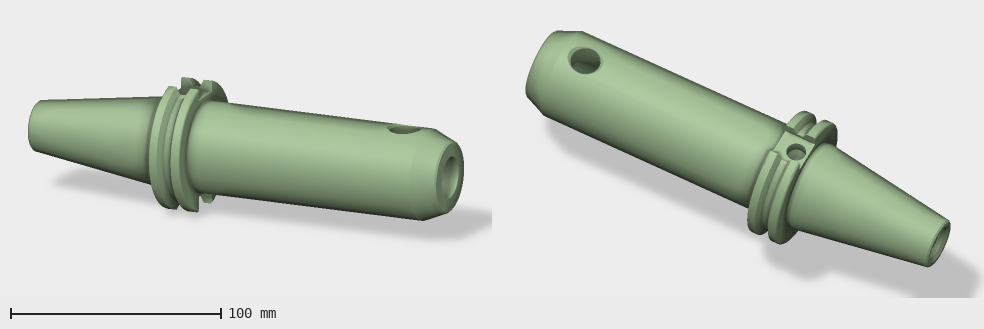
import cadquery as cq
import math

total_length = 214.3
body_radius = 44.4 / 2

taper_end = 68.1
taper_slope = 7 / 48
taper_tip_radius = body_radius - taper_end * taper_slope
tip_chamfer = 0.9

neck_radius = 43.5 / 2
neck_start = 70.0

flange_start = 71.1
flange_end = 87.2
flange_radius = 63.2 / 2
flange_rounding = 1.0
root_fillet = 0.6
groove_center = 79.3
groove_floor_width = 3.2
groove_floor_radius = 28.0
groove_flank_angle = 30.0
groove_flank = (flange_radius - groove_floor_radius) * math.tan(math.radians(groove_flank_angle))

slot_width = 15.9
upper_slot_floor = 25.0
lower_slot_floor = 22.7

dimple_x = 77.1
dimple_radius = 9.5 / 2
dimple_depth = 5.5
drill_point_angle = 118.0

nose_start = 202.7
nose_radius = 17.5
nose_chamfer = 0.9

through_radius = 13.3 / 2
tip_bore_radius = 16.3 / 2
tip_bore_depth = 4.0
tip_countersink_radius = 19.0 / 2
tip_countersink_depth = tip_countersink_radius - tip_bore_radius
tool_bore_radius = 20.1 / 2
tool_bore_depth = 51.5

screw_x = 190.7
screw_radius = 14.4 / 2
screw_countersink_start = 20.5


def revolve_profile(points):
    """Revolve a closed (x, radius) outline about the X axis."""
    return cq.Workplane("XY").polyline(points).close().revolve(360, (0, 0, 0), (1, 0, 0))


def make_shank_and_body():
    return revolve_profile([
        (0, 0),
        (0, taper_tip_radius + tip_chamfer * taper_slope - tip_chamfer),
        (tip_chamfer, taper_tip_radius + tip_chamfer * taper_slope),
        (taper_end, body_radius),
        (neck_start, neck_radius),
        (flange_start, neck_radius),
        (flange_end, body_radius),
        (nose_start, body_radius),
        (total_length - nose_chamfer, nose_radius),
        (total_length, nose_radius - nose_chamfer),
        (total_length, 0),
    ])


def make_flange():
    rim_inner = flange_radius - flange_rounding
    half_floor = groove_floor_width / 2
    half_mouth = half_floor + groove_flank
    arc_offset = flange_rounding * (1 - math.sqrt(0.5))
    return (
        cq.Workplane("XY")
        .moveTo(flange_start, 0)
        .lineTo(flange_start, rim_inner)
        .threePointArc(
            (flange_start + arc_offset, flange_radius - arc_offset),
            (flange_start + flange_rounding, flange_radius),
        )
        .lineTo(groove_center - half_mouth, flange_radius)
        .lineTo(groove_center - half_floor, groove_floor_radius)
        .lineTo(groove_center + half_floor, groove_floor_radius)
        .lineTo(groove_center + half_mouth, flange_radius)
        .lineTo(flange_end - flange_rounding, flange_radius)
        .threePointArc(
            (flange_end - arc_offset, flange_radius - arc_offset),
            (flange_end, rim_inner),
        )
        .lineTo(flange_end, body_radius + root_fillet)
        .radiusArc((flange_end + root_fillet, body_radius), -root_fillet)
        .lineTo(flange_end + root_fillet, 0)
        .close()
        .revolve(360, (0, 0, 0), (1, 0, 0))
    )


def make_slot(floor, side):
    """Drive slot open outward; side is +1 for the top and -1 for the bottom."""
    height = flange_radius - floor
    return (
        cq.Workplane("XY")
        .box(flange_end - flange_start, slot_width, height)
        .translate(((flange_start + flange_end) / 2, 0, side * (floor + height / 2)))
    )


def make_dimple():
    wall_end = upper_slot_floor - dimple_depth
    point_depth = dimple_radius / math.tan(math.radians(drill_point_angle / 2))
    return (
        cq.Workplane("XZ", origin=(dimple_x, 0, 0))
        .polyline([
            (0, wall_end - point_depth),
            (dimple_radius, wall_end),
            (dimple_radius, upper_slot_floor),
            (0, upper_slot_floor),
        ])
        .close()
        .revolve(360, (0, 0, 0), (0, 1, 0))
    )


def make_axial_bores():
    return revolve_profile([
        (0, 0),
        (0, tip_countersink_radius),
        (tip_countersink_depth, tip_bore_radius),
        (tip_bore_depth, tip_bore_radius),
        (tip_bore_depth, through_radius),
        (total_length - tool_bore_depth, through_radius),
        (total_length - tool_bore_depth, tool_bore_radius),
        (total_length, tool_bore_radius),
        (total_length, 0),
    ])


def make_screw_hole():
    """Radial hole from the top into the tool bore, with a 45 degree mouth."""
    mouth_radius = screw_radius + body_radius - screw_countersink_start
    return (
        cq.Workplane("XZ", origin=(screw_x, 0, 0))
        .polyline([
            (0, 0),
            (screw_radius, 0),
            (screw_radius, screw_countersink_start),
            (mouth_radius, body_radius),
            (0, body_radius),
        ])
        .close()
        .revolve(360, (0, 0, 0), (0, 1, 0))
    )


result = (
    make_shank_and_body()
    .union(make_flange())
    .cut(make_slot(upper_slot_floor, 1))
    .cut(make_slot(lower_slot_floor, -1))
    .cut(make_dimple())
    .cut(make_axial_bores())
    .cut(make_screw_hole())
)